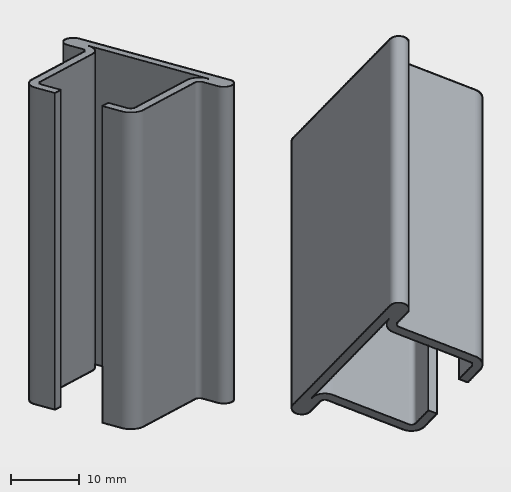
import cadquery as cq
import math

length = 50.0
sheet = 1.5
flange_width = 30.0
depth = 19.0
channel_width = 20.0
slot_width = 8.5
bend_inner = 0.75

bend_outer = bend_inner + sheet
fold = 2 * sheet

back = depth / 2
plate_inside = back - sheet
flange_front = back - fold
lip_front = -depth / 2
lip_inside = lip_front + sheet

fold_center = flange_width / 2 - sheet
wall_outside = channel_width / 2
wall_inside = wall_outside - sheet
slot_edge = slot_width / 2
neck_bend_x = wall_outside + bend_inner
neck_bend_y = flange_front - bend_inner
lip_bend_x = wall_inside - bend_inner
lip_bend_y = lip_inside + bend_inner
diagonal = math.sqrt(0.5)


def half_section():
    """Right half of the rail, from the symmetry plane to the folded edge."""
    return (
        cq.Workplane("XY", origin=(0, 0, -length / 2))
        .moveTo(0, back)
        .lineTo(fold_center, back)
        .threePointArc((flange_width / 2, plate_inside), (fold_center, flange_front))
        .lineTo(neck_bend_x, flange_front)
        .threePointArc(
            (neck_bend_x - bend_inner * diagonal, neck_bend_y + bend_inner * diagonal),
            (wall_outside, neck_bend_y),
        )
        .lineTo(wall_outside, lip_bend_y)
        .threePointArc(
            (lip_bend_x + bend_outer * diagonal, lip_bend_y - bend_outer * diagonal),
            (lip_bend_x, lip_front),
        )
        .lineTo(slot_edge, lip_front)
        .lineTo(slot_edge, lip_inside)
        .lineTo(lip_bend_x, lip_inside)
        .threePointArc(
            (lip_bend_x + bend_inner * diagonal, lip_bend_y - bend_inner * diagonal),
            (wall_inside, lip_bend_y),
        )
        .lineTo(wall_inside, neck_bend_y)
        .threePointArc(
            (neck_bend_x - bend_outer * diagonal, neck_bend_y + bend_outer * diagonal),
            (neck_bend_x, plate_inside),
        )
        .lineTo(0, plate_inside)
        .close()
    )


right_half = half_section().extrude(length)
result = right_half.union(right_half.mirror("YZ")).clean()